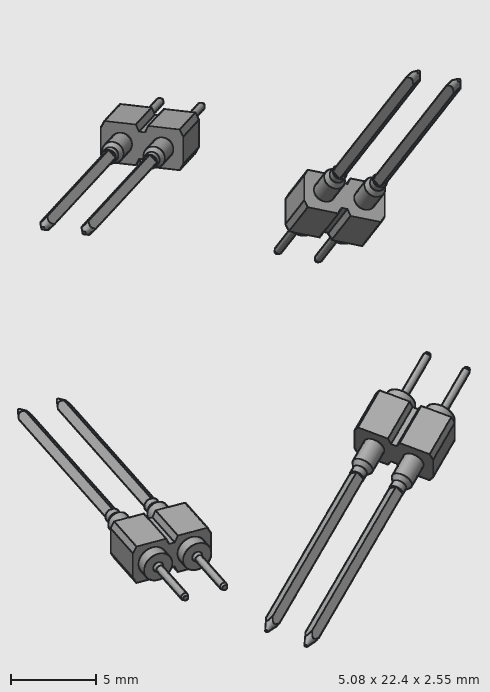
import cadquery as cq

total_length = 22.35
pin_count = 2
pitch = 2.538

body_height = 2.55
body_length = 3.0
body_width = pin_count * pitch
end_bevel_x = 0.22
bevel_z = 0.42
notch_top_width = 0.75
notch_floor_width = 0.35

tail_length = 3.71
tail_diameter = 0.47
tail_end_bevel = 0.07
tail_end_length = 0.18
flare_diameter = 0.65
flare_length = 0.25
collar_diameter = 1.83
collar_length = 0.75
barrel_diameter = 1.32
barrel_length = 1.6
taper_length = 0.34
neck_diameter = 0.9
neck_length = 0.47
tip_diameter = 0.2
tip_length = 0.87

rear_y = total_length / 2
collar_rear_y = rear_y - tail_length
body_rear_y = collar_rear_y - collar_length
body_front_y = body_rear_y - body_length
barrel_front_y = body_front_y - barrel_length
neck_rear_y = barrel_front_y - taper_length
neck_front_y = neck_rear_y - neck_length
tip_y = -total_length / 2


def revolve_profile(points):
    """Turn (radius, y) points about the Y axis."""
    return cq.Workplane("XY").polyline(points).close().revolve(360, (0, 0, 0), (0, 1, 0))


def make_body():
    """Bevelled block with a V-sided notch above and below between pins."""
    body = (
        cq.Workplane("XZ", origin=(0, body_rear_y, 0))
        .rect(body_width, body_height)
        .extrude(body_length)
    )
    half_width = body_width / 2
    top_z = body_height / 2
    shoulder_z = top_z - bevel_z
    cuts = []
    for side in (-1, 1):
        cuts.append([
            (side * half_width, shoulder_z),
            (side * half_width, top_z),
            (side * (half_width - end_bevel_x), top_z),
        ])
    for gap in range(1, pin_count):
        x = gap * pitch - half_width
        cuts.append([
            (x - notch_top_width / 2, top_z),
            (x - notch_floor_width / 2, shoulder_z),
            (x + notch_floor_width / 2, shoulder_z),
            (x + notch_top_width / 2, top_z),
        ])
    for outline in cuts:
        cutter = (
            cq.Workplane("XZ", origin=(0, body_rear_y, 0))
            .polyline(outline)
            .close()
            .extrude(body_length)
        )
        body = body.cut(cutter).cut(cutter.mirror("XY"))
    return body


def make_turned_section():
    """Round tail, collar, barrel and neck."""
    tail_radius = tail_diameter / 2
    collar_radius = collar_diameter / 2
    barrel_radius = barrel_diameter / 2
    neck_radius = neck_diameter / 2
    return revolve_profile([
        (0, rear_y),
        (tail_radius - tail_end_bevel, rear_y),
        (tail_radius, rear_y - tail_end_length),
        (tail_radius, collar_rear_y + flare_length),
        (flare_diameter / 2, collar_rear_y),
        (collar_radius, collar_rear_y),
        (collar_radius, body_rear_y),
        (barrel_radius, body_rear_y),
        (barrel_radius, barrel_front_y),
        (neck_radius, neck_rear_y),
        (neck_radius, neck_front_y),
        (0, neck_front_y),
    ])


def make_square_post():
    """Square post standing on its corner, with a conically pointed tip."""
    post = (
        cq.Workplane("XZ", origin=(0, neck_front_y, 0))
        .polygon(4, neck_diameter)
        .extrude(neck_front_y - tip_y)
    )
    point_envelope = revolve_profile([
        (0, neck_front_y),
        (neck_diameter / 2, neck_front_y),
        (neck_diameter / 2, tip_y + tip_length),
        (tip_diameter / 2, tip_y),
        (0, tip_y),
    ])
    return post.intersect(point_envelope)


pin = make_turned_section().union(make_square_post())
result = make_body()
for index in range(pin_count):
    pin_x = (index + 0.5) * pitch - body_width / 2
    result = result.union(pin.translate((pin_x, 0, 0)))